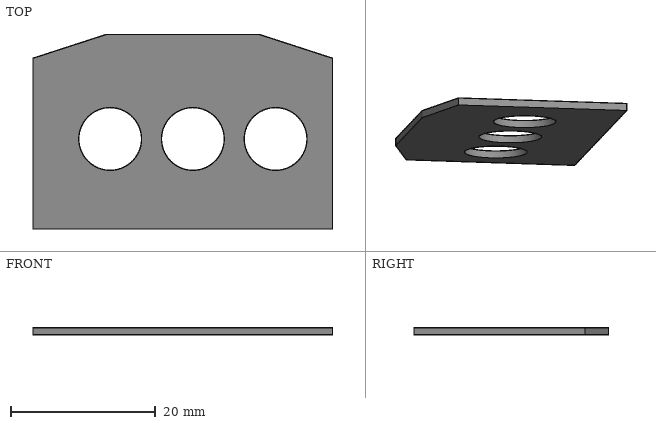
import cadquery as cq

length = 41.4
width = 26.92
thickness = 1.0

corner_run = 10.16
corner_drop = 3.3

hole_diameter = 8.64
hole_count = 3
hole_pitch = 11.43
first_hole_x = 10.67
hole_row_y = 12.45


def make_plate():
    """Flat plate whose two +Y corners are cut off at a shallow slope."""
    shoulder_y = width - corner_drop
    outline = [
        (0, 0),
        (length, 0),
        (length, shoulder_y),
        (length - corner_run, width),
        (corner_run, width),
        (0, shoulder_y),
    ]
    return cq.Workplane("XY").polyline(outline).close().extrude(thickness)


def make_hole_cutters():
    """Evenly spaced cylinders along X that pass through the plate."""
    centers = [(first_hole_x + i * hole_pitch, hole_row_y) for i in range(hole_count)]
    return cq.Workplane("XY").pushPoints(centers).circle(hole_diameter / 2).extrude(thickness)


result = make_plate().cut(make_hole_cutters())